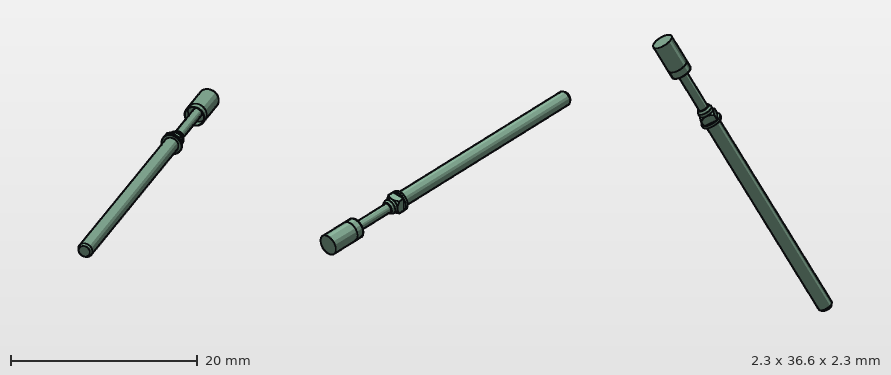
import cadquery as cq

total_length = 36.6
body_diameter = 1.65
tail_taper_length = 0.25
tail_face_diameter = 1.28

head_diameter = 2.3
head_length = 4.25
cup_diameter = 2.15
cup_depth = 0.85
cup_floor = head_length - cup_depth
rod_diameter = 1.05

nose_diameter = 1.35
nose_start = 9.1
neck_start = 9.45
shoulder_start = 9.8
corner_taper_length = 0.3
flange_start = 10.75
flange_length = 0.3
flange_end = flange_start + flange_length
flange_diameter = head_diameter

square_width = body_diameter
neck_diameter = square_width
corner_diameter = flange_diameter

head_face = total_length / 2


def section_plane(distance):
    """Workplane across the axis, facing the tail, at a distance from the head face."""
    return cq.Workplane("XZ", origin=(0, head_face - distance, 0))


def cylinder(diameter, start, end):
    """Round section between two distances from the head face."""
    return section_plane(start).circle(diameter / 2).extrude(end - start)


def cone(start_diameter, end_diameter, start, end):
    """Tapered section between two distances from the head face."""
    base = section_plane(start).circle(start_diameter / 2)
    return base.workplane(offset=end - start).circle(end_diameter / 2).loft(ruled=True)


def plunger():
    """Cup-shaped head with the rod rising from the cup floor."""
    head = cylinder(head_diameter, 0, head_length)
    head = head.cut(cylinder(cup_diameter, cup_floor, head_length))
    return head.union(cylinder(rod_diameter, cup_floor, nose_start))


def square_shoulder():
    """Square section whose trimmed corners taper down to the round neck."""
    taper_end = shoulder_start + corner_taper_length
    square = section_plane(shoulder_start).rect(square_width, square_width)
    square = square.extrude(flange_start - shoulder_start)
    envelope = cone(neck_diameter, corner_diameter, shoulder_start, taper_end)
    envelope = envelope.union(cylinder(corner_diameter, taper_end, flange_start))
    return square.intersect(envelope)


def collar():
    """Nose, neck, square shoulder and flange in order toward the tail."""
    nose = cone(nose_diameter, neck_diameter, nose_start, neck_start)
    neck = cylinder(neck_diameter, neck_start, shoulder_start)
    flange = cylinder(flange_diameter, flange_start, flange_end)
    return nose.union(neck).union(square_shoulder()).union(flange)


def body():
    """Long round barrel with a short tapered tail."""
    taper_start = total_length - tail_taper_length
    barrel = cylinder(body_diameter, flange_end, taper_start)
    return barrel.union(cone(body_diameter, tail_face_diameter, taper_start, total_length))


result = plunger().union(collar()).union(body())